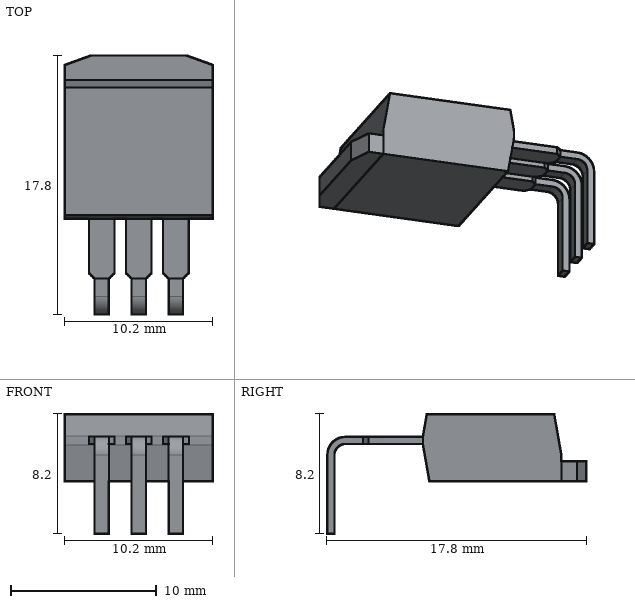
import cadquery as cq
import math


package_width = 10.16
package_length = 17.75
package_height = 8.2

housing_length = 9.5
housing_height = 4.6
draft_angle = 10.0
front_band_bottom = 2.5
front_band_top = 3.1
back_band_top = 1.8

tab_length = 1.7
tab_thickness = 1.38
tab_corner_depth = 0.65
tab_corner_width = 1.8

lead_count = 3
lead_pitch = 2.54
lead_thickness = 0.5
shoulder_width = 1.77
shoulder_length = 4.09
pin_width = 1.0
bend_inner_radius = 0.75

draft_slope = math.tan(math.radians(draft_angle))
housing_back = housing_length
tab_back = housing_back + tab_length
lead_front = tab_back - package_length
lead_tip = housing_height - package_height
lead_top = (front_band_bottom + front_band_top + lead_thickness) / 2
lead_bottom = lead_top - lead_thickness
shoulder_taper = (shoulder_width - pin_width) / 2
bend_outer_radius = bend_inner_radius + lead_thickness
lead_positions = [(i - (lead_count - 1) / 2) * lead_pitch for i in range(lead_count)]


def extrude_across(profile, width):
    """Extrude a profile of the YZ plane symmetrically about X = 0."""
    return profile.extrude(width / 2, both=True)


def make_housing():
    """Block with drafted front and back faces and flat sides."""
    bottom_inset = front_band_bottom * draft_slope
    top_front_inset = (housing_height - front_band_top) * draft_slope
    top_back_inset = (housing_height - back_band_top) * draft_slope
    profile = (
        cq.Workplane("YZ")
        .moveTo(bottom_inset, 0)
        .lineTo(housing_back, 0)
        .lineTo(housing_back, back_band_top)
        .lineTo(housing_back - top_back_inset, housing_height)
        .lineTo(top_front_inset, housing_height)
        .lineTo(0, front_band_top)
        .lineTo(0, front_band_bottom)
        .close()
    )
    return extrude_across(profile, package_width)


def make_tab():
    """Flat plate against the back of the housing, with two cut-off corners."""
    half_width = package_width / 2
    return (
        cq.Workplane("XY")
        .moveTo(-half_width, housing_back)
        .lineTo(half_width, housing_back)
        .lineTo(half_width, tab_back - tab_corner_depth)
        .lineTo(half_width - tab_corner_width, tab_back)
        .lineTo(-half_width + tab_corner_width, tab_back)
        .lineTo(-half_width, tab_back - tab_corner_depth)
        .close()
        .extrude(tab_thickness)
    )


def make_shoulder():
    """Wide flat part of a lead, tapering to the pin width at its outer end."""
    return (
        cq.Workplane("XY")
        .workplane(offset=lead_bottom)
        .moveTo(-shoulder_width / 2, 0)
        .lineTo(shoulder_width / 2, 0)
        .lineTo(shoulder_width / 2, -shoulder_length + shoulder_taper)
        .lineTo(pin_width / 2, -shoulder_length)
        .lineTo(-pin_width / 2, -shoulder_length)
        .lineTo(-shoulder_width / 2, -shoulder_length + shoulder_taper)
        .close()
        .extrude(lead_thickness)
    )


def make_pin():
    """Narrow part of a lead, running on from the shoulder and bent straight down."""
    bend_start = lead_front + bend_outer_radius
    bend_end = lead_top - bend_outer_radius
    profile = (
        cq.Workplane("YZ")
        .moveTo(-shoulder_length, lead_top)
        .lineTo(bend_start, lead_top)
        .radiusArc((lead_front, bend_end), -bend_outer_radius)
        .lineTo(lead_front, lead_tip)
        .lineTo(lead_front + lead_thickness, lead_tip)
        .lineTo(lead_front + lead_thickness, bend_end)
        .radiusArc((bend_start, lead_bottom), bend_inner_radius)
        .lineTo(-shoulder_length, lead_bottom)
        .close()
    )
    return extrude_across(profile, pin_width)


housing = make_housing()
tab = make_tab()
shoulders = [make_shoulder().translate((x, 0, 0)) for x in lead_positions]
pins = [make_pin().translate((x, 0, 0)) for x in lead_positions]

result = cq.Compound.makeCompound(
    [
        housing.val(),
        tab.val(),
        *[shoulder.val() for shoulder in shoulders],
        *[pin.val() for pin in pins],
    ]
)